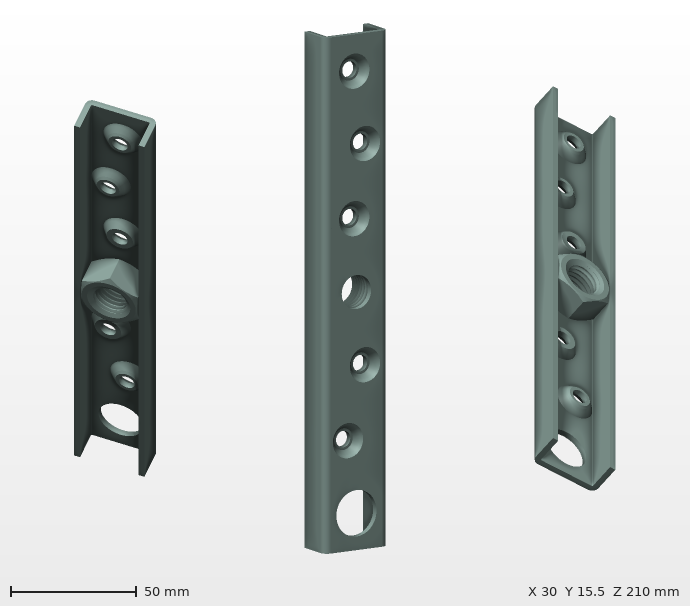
import cadquery as cq
import math

length = 210
width = 30.0
depth = 15.0
wall = 2.5
bend_radius = 3.0
inner_bend_radius = bend_radius - wall
web_face = depth - wall

pitch = length / 7
access_hole_diameter = 19.0
access_hole_station = 6
nut_station = 3

boss_base_diameter = 16.8
boss_hole_diameter = 6.7
boss_height = 3.5
flat_boss_top_diameter = 11.3
stepped_boss_shoulder_diameter = 11.5
stepped_boss_shoulder_height = 2.7
stepped_boss_top_diameter = 9.7
stepped_bosses = [(1.0, 0), (-4.0, 1), (4.0, 5)]
flat_bosses = [(1.0, 2), (-4.0, 4)]

nut_across_flats = 24.0
nut_height = 13.0
nut_chamfer_angle = 30
thread_diameter = 16.0
thread_core_diameter = 13.9
thread_pitch = 2.0
thread_mouth = 1.78
thread_root = 0.25
thread_overlap = 0.1
nut_countersink_diameter = 18.5
countersink_angle = 30
nut_face_diameter = 23.0


def station_z(station):
    return length / 2 - pitch * (station + 0.5)


nut_z = station_z(nut_station)


def turned_on_web(profile, x, station):
    """Revolve (radius, height above web) points about an axis normal to the web."""
    body = cq.Workplane("XY").polyline(profile).close().revolve(360, (0, 0), (0, 1))
    return body.rotate((0, 0, 0), (0, 0, 1), 180).translate((x, web_face, station_z(station)))


def web_hole(diameter, x, station):
    return (
        cq.Workplane("XZ")
        .center(x, station_z(station))
        .circle(diameter / 2)
        .extrude(2 * depth, both=True)
    )


def make_rail():
    outer = cq.Workplane("XY").box(width, depth, length).translate((0, depth / 2, 0))
    outer = outer.edges("|Z and >Y").fillet(bend_radius)
    inner = cq.Workplane("XY").box(width - 2 * wall, web_face, length).translate((0, web_face / 2, 0))
    inner = inner.edges("|Z and >Y").fillet(inner_bend_radius)
    return outer.cut(inner)


def make_boss_recess(x, station):
    """Hollow behind a boss that keeps its cone as thick as the web."""
    slope = (boss_base_diameter - flat_boss_top_diameter) / 2 / boss_height
    cone_radius = boss_base_diameter / 2 - wall * math.hypot(1, slope)
    back_radius = cone_radius + slope * wall
    floor_height = boss_height - wall
    floor_radius = cone_radius - slope * floor_height
    profile = [(0, -wall), (back_radius, -wall), (floor_radius, floor_height), (0, floor_height)]
    return turned_on_web(profile, x, station)


def add_bosses(channel):
    flat_profile = [
        (0, 0),
        (boss_base_diameter / 2, 0),
        (flat_boss_top_diameter / 2, boss_height),
        (0, boss_height),
    ]
    stepped_profile = [
        (0, 0),
        (boss_base_diameter / 2, 0),
        (stepped_boss_shoulder_diameter / 2, stepped_boss_shoulder_height),
        (stepped_boss_top_diameter / 2, boss_height),
        (0, boss_height),
    ]
    for profile, places in ((flat_profile, flat_bosses), (stepped_profile, stepped_bosses)):
        for x, station in places:
            channel = channel.union(turned_on_web(profile, x, station))
            channel = channel.cut(make_boss_recess(x, station))
            channel = channel.cut(web_hole(boss_hole_diameter, x, station))
    return channel


def make_half_turns():
    """Half turns of a right-handed helical groove that together run past both nut faces."""
    inner_radius = thread_core_diameter / 2 - thread_overlap
    root_radius = thread_diameter / 2
    half_mouth = thread_mouth / 2
    half_root = thread_root / 2
    lead = thread_pitch / 2
    helix = cq.Wire.makeHelix(thread_pitch, lead, inner_radius)
    half_turn = (
        cq.Workplane("XZ")
        .polyline([
            (inner_radius, -half_mouth),
            (root_radius, -half_root),
            (root_radius, half_root),
            (inner_radius, half_mouth),
        ])
        .close()
        .sweep(cq.Workplane(obj=helix), isFrenet=True)
    )
    half_turn_count = math.ceil(nut_height / lead) + 2
    return [
        half_turn.rotate((0, 0, 0), (0, 0, 1), 180 * (i + 1))
        .translate((0, 0, (i - 1) * lead))
        .rotate((0, 0, 0), (1, 0, 0), 90)
        .translate((0, web_face, nut_z))
        for i in range(half_turn_count)
    ]


def make_nut():
    corner_radius = nut_across_flats / math.sqrt(3)
    corner_turn = 30
    hexagon = (
        cq.Workplane("XZ", origin=(0, web_face, nut_z))
        .polygon(6, 2 * corner_radius)
        .extrude(nut_height)
        .rotate((0, 0, nut_z), (0, 1, nut_z), corner_turn)
    )
    face_radius = nut_face_diameter / 2
    chamfer_drop = (corner_radius - face_radius) * math.tan(math.radians(nut_chamfer_angle))
    chamfered_envelope = [
        (0, 0),
        (face_radius, 0),
        (corner_radius, chamfer_drop),
        (corner_radius, nut_height - chamfer_drop),
        (face_radius, nut_height),
        (0, nut_height),
    ]
    nut = hexagon.intersect(turned_on_web(chamfered_envelope, 0, nut_station))
    nut = nut.cut(web_hole(thread_core_diameter, 0, nut_station))

    for half_turn in make_half_turns():
        nut = nut.cut(half_turn)

    core_radius = thread_core_diameter / 2
    sink_radius = nut_countersink_diameter / 2
    sink_depth = (sink_radius - core_radius) * math.tan(math.radians(countersink_angle))
    lower_sink = [(0, 0), (sink_radius, 0), (core_radius, sink_depth), (0, sink_depth)]
    upper_sink = [(radius, nut_height - height) for radius, height in lower_sink]
    for sink in (lower_sink, upper_sink):
        nut = nut.cut(turned_on_web(sink, 0, nut_station))
    return nut


def make_channel():
    channel = add_bosses(make_rail())
    channel = channel.cut(web_hole(access_hole_diameter, 0, access_hole_station))
    return channel.cut(web_hole(thread_core_diameter, 0, nut_station))


channel = make_channel()
nut = make_nut()
result = cq.Compound.makeCompound([*channel.solids().vals(), *nut.solids().vals()])